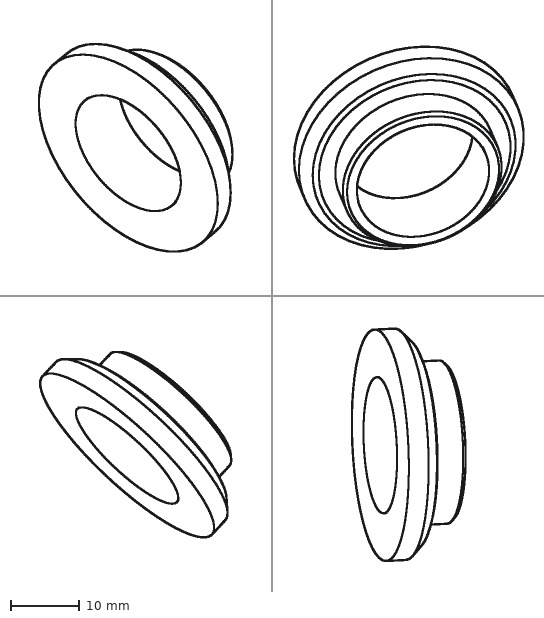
import cadquery as cq

flange_diameter = 34.0
hub_diameter = 24.0
bore_diameter = 20.0
total_length = 10.0
flange_thickness = 5.0
rim_width = 3.0
bevel_length = 1.65
shoulder_diameter = 28.97
hub_chamfer = 0.5

flange_radius = flange_diameter / 2
hub_radius = hub_diameter / 2
bore_radius = bore_diameter / 2
shoulder_radius = shoulder_diameter / 2
bevel_end = rim_width + bevel_length

half_section = (
    cq.Workplane("XY")
    .moveTo(bore_radius, 0)
    .lineTo(flange_radius, 0)
    .lineTo(flange_radius, rim_width)
    .lineTo(flange_radius - bevel_length, bevel_end)
    .lineTo(shoulder_radius, flange_thickness)
    .lineTo(hub_radius, flange_thickness)
    .lineTo(hub_radius, total_length - hub_chamfer)
    .lineTo(hub_radius - hub_chamfer, total_length)
    .lineTo(bore_radius, total_length)
    .close()
)

result = half_section.revolve(360, (0, 0, 0), (0, 1, 0))